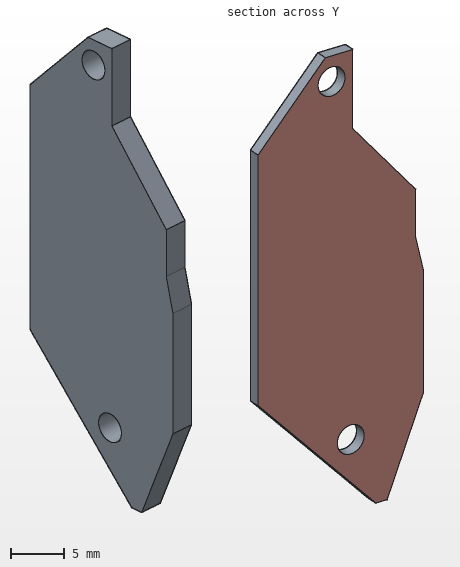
import cadquery as cq

width = 18.65
thickness = 2.5
height = 48.0

left_edge_bottom = 13.85
left_edge_top = 40.0

tab_left = 7.6
tab_right = 10.7
tab_root = 39.75

upper_edge_x = 17.8
upper_edge_top = 31.45
upper_edge_bottom = 26.45
right_edge_top = 22.85
right_edge_bottom = 10.0

tip_left = 13.3
tip_right = 14.6

hole_diameter = 3.0
upper_hole = (8.3, 45.3)
lower_hole = (10.45, 7.45)

outline = [
    (0, left_edge_bottom),
    (0, left_edge_top),
    (tab_left, height),
    (tab_right, height),
    (tab_right, tab_root),
    (upper_edge_x, upper_edge_top),
    (upper_edge_x, upper_edge_bottom),
    (width, right_edge_top),
    (width, right_edge_bottom),
    (tip_right, 0),
    (tip_left, 0),
]
plate = cq.Workplane("XZ").polyline(outline).close().extrude(thickness)

holes = (
    cq.Workplane("XZ")
    .pushPoints([upper_hole, lower_hole])
    .circle(hole_diameter / 2)
    .extrude(thickness)
)

result = plate.cut(holes)